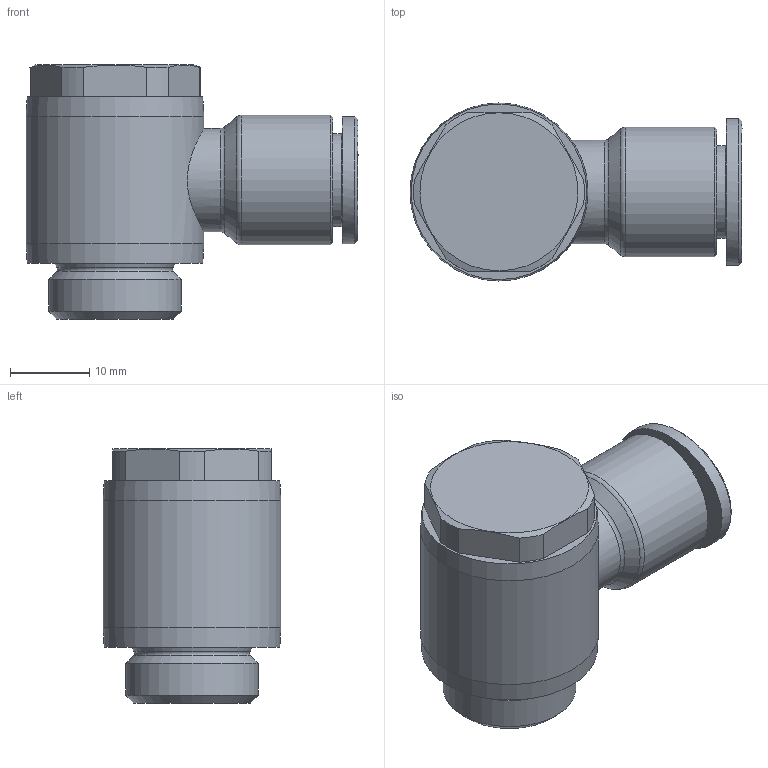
import cadquery as cq
import math

body_radius = 11.2
body_end_radius = 11.05
body_height = 21.0
body_taper_height = 2.5

hex_across_flats = 20.0
hex_height = 4.0
hex_corner_radius = 10.75
hex_top_radius = 9.95
hex_chamfer_angle = 20.0

stud_length = 7.0
stud_radius = 8.35
stud_chamfer = 1.0
undercut_depth = 1.0
undercut_top_radius = 7.55
undercut_root_radius = 7.35

branch_height = body_height / 2
neck_radius = 6.5
neck_end_x = 13.56
shoulder_angle = 39.5
shoulder_fillet = 0.9
sleeve_radius = 8.15
sleeve_end_x = 27.4
sleeve_end_chamfer = 0.25

stem_radius = 5.85
stem_root_chamfer = 0.1
flange_start_x = 28.6
flange_end_x = 30.6
flange_half_width = 9.25
flange_half_height = 8.0
flange_chamfer = 0.4


def make_barrel():
    """Cylinder that narrows slightly at both ends."""
    return (
        cq.Workplane("XZ")
        .lineTo(body_end_radius, 0)
        .lineTo(body_radius, body_taper_height)
        .lineTo(body_radius, body_height - body_taper_height)
        .lineTo(body_end_radius, body_height)
        .lineTo(0, body_height)
        .close()
        .revolve(360, (0, 0), (0, 1))
    )


def make_hex_head():
    """Hexagon with two flats facing +Y and -Y, trimmed by a chamfered round envelope."""
    top = body_height + hex_height
    chamfer_drop = (hex_corner_radius - hex_top_radius) * math.tan(math.radians(hex_chamfer_angle))
    hex_across_corners = hex_across_flats / math.cos(math.pi / 6)
    hexagon = (
        cq.Workplane("XY", origin=(0, 0, body_height))
        .polygon(6, hex_across_corners)
        .extrude(hex_height)
    )
    envelope = (
        cq.Workplane("XZ")
        .moveTo(0, body_height)
        .lineTo(hex_corner_radius, body_height)
        .lineTo(hex_corner_radius, top - chamfer_drop)
        .lineTo(hex_top_radius, top)
        .lineTo(0, top)
        .close()
        .revolve(360, (0, 0), (0, 1))
    )
    return hexagon.intersect(envelope)


def make_stud():
    """Stud with a chamfered end, and an undercut whose root runs tangent into the upper cone."""
    chamfered_radius = stud_radius - stud_chamfer
    return (
        cq.Workplane("XZ")
        .lineTo(0, -stud_length)
        .lineTo(chamfered_radius, -stud_length)
        .lineTo(stud_radius, -stud_length + stud_chamfer)
        .lineTo(stud_radius, -undercut_depth - stud_chamfer)
        .lineTo(chamfered_radius, -undercut_depth)
        .tangentArcPoint((undercut_root_radius, -undercut_depth / 2), relative=False)
        .lineTo(undercut_top_radius, 0)
        .close()
        .revolve(360, (0, 0), (0, 1))
    )


def make_branch():
    """Neck, rounded conical shoulder, sleeve and collet stem, turned about the branch axis."""
    slope = math.radians(shoulder_angle)
    shoulder_length = (sleeve_radius - neck_radius) / math.tan(slope)
    sleeve_start_x = neck_end_x + shoulder_length
    tangent_length = shoulder_fillet * math.tan(slope / 2)
    along = tangent_length * math.cos(slope)
    outward = tangent_length * math.sin(slope)
    return (
        cq.Workplane("XY", origin=(0, 0, branch_height))
        .lineTo(0, neck_radius)
        .lineTo(neck_end_x - tangent_length, neck_radius)
        .tangentArcPoint((neck_end_x + along, neck_radius + outward), relative=False)
        .lineTo(sleeve_start_x - along, sleeve_radius - outward)
        .tangentArcPoint((sleeve_start_x + tangent_length, sleeve_radius), relative=False)
        .lineTo(sleeve_end_x - sleeve_end_chamfer, sleeve_radius)
        .lineTo(sleeve_end_x, sleeve_radius - sleeve_end_chamfer)
        .lineTo(sleeve_end_x, stem_radius)
        .lineTo(flange_start_x - stem_root_chamfer, stem_radius)
        .lineTo(flange_start_x, stem_radius + stem_root_chamfer)
        .lineTo(flange_start_x, 0)
        .close()
        .revolve(360, (0, 0), (1, 0))
    )


def make_collet_flange():
    """Oval flange with its outer rim chamfered."""
    return (
        cq.Workplane("YZ", origin=(flange_start_x, 0, branch_height))
        .ellipse(flange_half_width, flange_half_height)
        .extrude(flange_end_x - flange_start_x)
        .faces(">X")
        .edges()
        .chamfer(flange_chamfer)
    )


result = (
    make_barrel()
    .union(make_hex_head())
    .union(make_stud())
    .union(make_branch())
    .union(make_collet_flange())
)